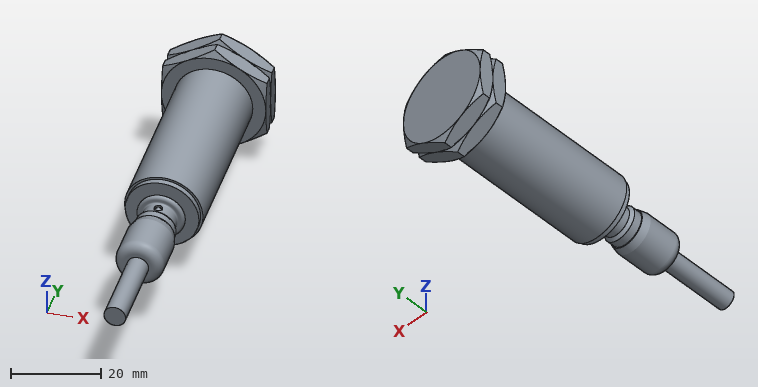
import cadquery as cq
import math

TOTAL_LENGTH = 89.2

NUT_FLATS = 24.0
NUT_THICKNESS = 4.0
NUT_COUNT = 2
NUT_CHAMFER_DEPTH = 1.0

BARREL_RADIUS = 9.0
BARREL_END = 49.0
COLLAR_RADIUS = 8.5
COLLAR_END = 50.4

FLANGE_RADIUS = 5.5
FLANGE_END = 51.8
NECK_RADIUS = 3.9
NECK_FILLET_RADIUS = 0.4
NECK_END = 54.95

RING_RADIUS = 4.7
RING_START = 55.75
RING_END = 57.9
SHOULDER_RADIUS = 5.0
GRIP_RADIUS = 5.5
GRIP_START = 60.0
NOSE_RADIUS = 2.1
GRIP_END = 70.3
CABLE_RADIUS = 2.5

MARKER_DIAMETER = 1.9
MARKER_DEPTH = 0.7
MARKER_STATION = 53.4


def make_nut(start):
    """Hexagonal nut, corners up and down, with its corners chamfered on both faces."""
    corner_radius = NUT_FLATS / 2 / math.cos(math.pi / 6)
    face_radius = NUT_FLATS / 2
    hexagon = (
        cq.Workplane("XZ", origin=(0, -start, 0))
        .transformed(rotate=(0, 0, 90))
        .polygon(6, 2 * corner_radius)
        .extrude(NUT_THICKNESS)
    )
    end = start + NUT_THICKNESS
    envelope = (
        cq.Workplane("XY")
        .moveTo(0, -start)
        .lineTo(face_radius, -start)
        .lineTo(corner_radius, -start - NUT_CHAMFER_DEPTH)
        .lineTo(corner_radius, -end + NUT_CHAMFER_DEPTH)
        .lineTo(face_radius, -end)
        .lineTo(0, -end)
        .close()
        .revolve(360, (0, 0, 0), (0, 1, 0))
    )
    return hexagon.intersect(envelope)


def make_turned_body():
    """Barrel, flange, connector and cable as one revolved profile."""
    rim_radius = (FLANGE_END - COLLAR_END) / 2
    arc_mid_factor = 1 - math.sqrt(0.5)
    fillet_mid_offset = NECK_FILLET_RADIUS * arc_mid_factor
    nose_mid_offset = NOSE_RADIUS * arc_mid_factor
    return (
        cq.Workplane("XY")
        .lineTo(BARREL_RADIUS, 0)
        .lineTo(BARREL_RADIUS, -BARREL_END)
        .lineTo(COLLAR_RADIUS, -BARREL_END)
        .lineTo(COLLAR_RADIUS, -COLLAR_END)
        .lineTo(FLANGE_RADIUS - rim_radius, -COLLAR_END)
        .threePointArc(
            (FLANGE_RADIUS, -COLLAR_END - rim_radius),
            (FLANGE_RADIUS - rim_radius, -FLANGE_END),
        )
        .lineTo(NECK_RADIUS + NECK_FILLET_RADIUS, -FLANGE_END)
        .threePointArc(
            (NECK_RADIUS + fillet_mid_offset, -FLANGE_END - fillet_mid_offset),
            (NECK_RADIUS, -FLANGE_END - NECK_FILLET_RADIUS),
        )
        .lineTo(NECK_RADIUS, -NECK_END)
        .lineTo(RING_RADIUS, -RING_START)
        .lineTo(RING_RADIUS, -RING_END)
        .lineTo(SHOULDER_RADIUS, -RING_END)
        .lineTo(GRIP_RADIUS, -GRIP_START)
        .lineTo(GRIP_RADIUS, -GRIP_END + NOSE_RADIUS)
        .threePointArc(
            (GRIP_RADIUS - nose_mid_offset, -GRIP_END + nose_mid_offset),
            (GRIP_RADIUS - NOSE_RADIUS, -GRIP_END),
        )
        .lineTo(CABLE_RADIUS, -GRIP_END)
        .lineTo(CABLE_RADIUS, -TOTAL_LENGTH)
        .lineTo(0, -TOTAL_LENGTH)
        .close()
        .revolve(360, (0, 0, 0), (0, 1, 0))
    )


def make_marker_hole():
    """Cylindrical cutter reaching from above the neck down to the marker depth."""
    return (
        cq.Workplane("XY", origin=(0, -MARKER_STATION, NECK_RADIUS - MARKER_DEPTH))
        .circle(MARKER_DIAMETER / 2)
        .extrude(2 * MARKER_DEPTH)
    )


def make_marker_ball():
    """Ball as wide as the marker hole, its crown level with the top of the neck."""
    ball_radius = MARKER_DIAMETER / 2
    ball_center = (0, -MARKER_STATION, NECK_RADIUS - ball_radius)
    return cq.Workplane("XY").sphere(ball_radius).translate(ball_center)


result = make_turned_body()
for index in range(NUT_COUNT):
    result = result.union(make_nut(index * NUT_THICKNESS))

result = result.cut(make_marker_hole()).union(make_marker_ball())